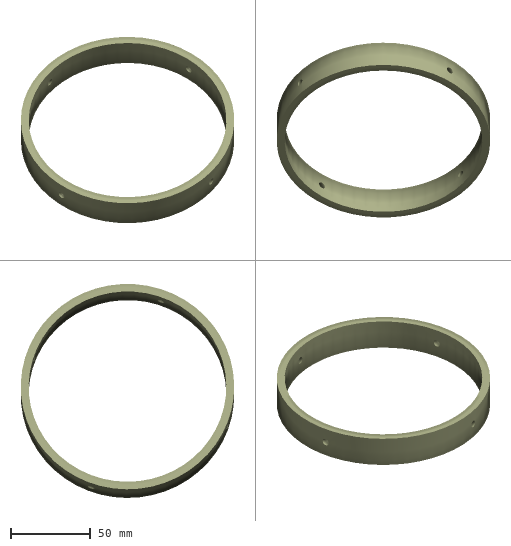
import cadquery as cq

outer_diameter = 134.0
wall_thickness = 5.0
height = 20.0
inner_diameter = outer_diameter - 2 * wall_thickness

hole_diameter = 4.5
drill_length = 1.2 * outer_diameter


def make_ring():
    """Plain ring centred on the origin with its axis along Z."""
    return (
        cq.Workplane("XY", origin=(0, 0, -height / 2))
        .circle(outer_diameter / 2)
        .circle(inner_diameter / 2)
        .extrude(height)
    )


def make_drill(plane):
    """Cylinder through the ring centre, normal to the given plane."""
    return cq.Workplane(plane).circle(hole_diameter / 2).extrude(drill_length / 2, both=True)


result = make_ring()
for plane in ("XZ", "YZ"):
    result = result.cut(make_drill(plane))